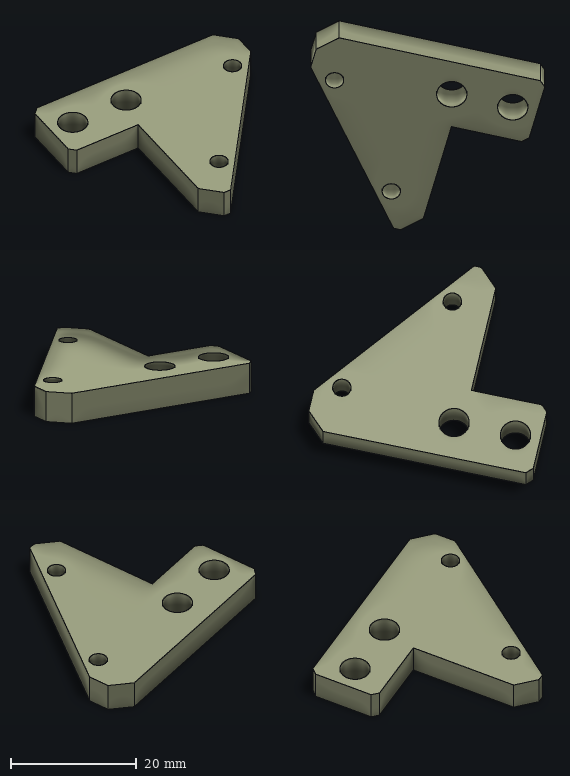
import cadquery as cq

width = 33.0
length = 37.0
thickness = 5.0

leg_width = 12.0
leg_length = 12.5

leg_chamfer = 1.0
wing_chamfer = 3.0

top_flat = 3.6
tip_flat = 1.2

large_hole_diameter = 4.8
large_hole_x = leg_width / 2
first_large_hole_y = 4.0
large_hole_pitch = 10.0
large_hole_count = 2
small_hole_diameter = 2.9
small_hole_centers = [(8.0, 32.7), (26.25, 18.75)]


def make_plate():
    """Triangular wing with a rectangular leg, extruded to the plate thickness."""
    outline = [
        (leg_chamfer, 0),
        (leg_width - leg_chamfer, 0),
        (leg_width, leg_chamfer),
        (leg_width, leg_length),
        (width - wing_chamfer, leg_length),
        (width, leg_length + wing_chamfer),
        (width, leg_length + wing_chamfer + tip_flat),
        (wing_chamfer + top_flat, length),
        (wing_chamfer, length),
        (0, length - wing_chamfer),
        (0, leg_chamfer),
    ]
    return cq.Workplane("XY").polyline(outline).close().extrude(thickness)


def make_through_holes(centers, diameter):
    """Cylinders that cut through the full plate thickness."""
    return cq.Workplane("XY").pushPoints(centers).circle(diameter / 2).extrude(thickness)


large_hole_centers = [
    (large_hole_x, first_large_hole_y + index * large_hole_pitch) for index in range(large_hole_count)
]

result = make_plate()
result = result.cut(make_through_holes(large_hole_centers, large_hole_diameter))
result = result.cut(make_through_holes(small_hole_centers, small_hole_diameter))